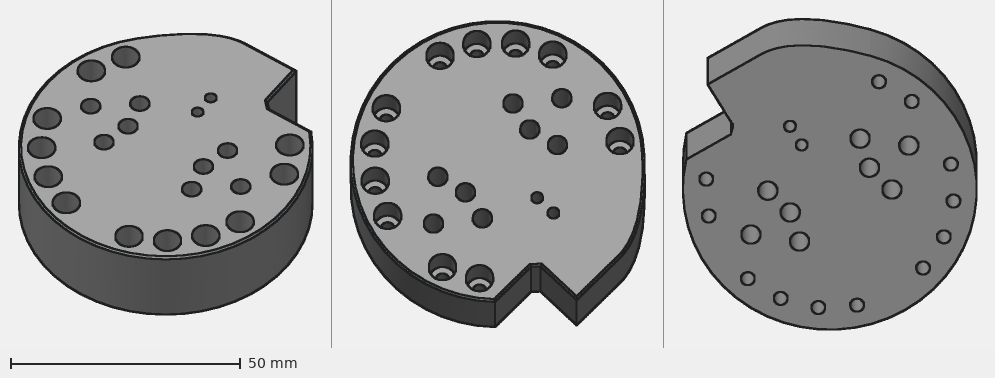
import cadquery as cq
import math

height = 19.0
disc_radius = 32.0
top_flat_y = 34.4
rim_chamfer = 0.5

notch_x = 10.55
notch_y = 22.0
notch_corner_chamfer = 1.45

shoulder_end_x = -3.0
shoulder_handle = 7.3

screw_ring_radius = 27.0
screw_angles = (36, 18, -18, -36, -54, -72)
screw_diameter = 3.0
counterbore_diameter = 6.0
counterbore_depth = height / 2

group_center_x = 15.0
group_hole_diameter = 4.2
axial_hole_offset = 5.0
side_hole_x = 11.7
side_hole_y = 6.8

small_hole_diameter = 2.5
small_hole_ys = (12.0, 17.0)


def mirrored(points):
    """Return the points together with their mirror images about the YZ plane."""
    return points + [(-x, y) for x, y in points]


def make_body():
    """Disc with a raised shoulder on the left, a notch on the right and a chamfered top rim."""
    rim_x = math.sqrt(disc_radius**2 - notch_y**2)
    handle_scale = shoulder_handle / disc_radius
    shoulder_handles = [
        (-rim_x + handle_scale * notch_y, notch_y + handle_scale * rim_x),
        (shoulder_end_x - shoulder_handle, top_flat_y),
    ]
    profile = (
        cq.Workplane("XY")
        .moveTo(rim_x, notch_y)
        .threePointArc((0, -disc_radius), (-rim_x, notch_y))
        .bezier([(-rim_x, notch_y), *shoulder_handles, (shoulder_end_x, top_flat_y)])
        .lineTo(notch_x, top_flat_y)
        .lineTo(notch_x, notch_y + notch_corner_chamfer)
        .lineTo(notch_x + notch_corner_chamfer, notch_y)
        .close()
    )
    return profile.extrude(height).faces(">Z").chamfer(rim_chamfer)


def cut_screw_holes(body):
    points = []
    for angle in screw_angles:
        a = math.radians(angle)
        points.append((screw_ring_radius * math.cos(a), screw_ring_radius * math.sin(a)))
    return (
        body.faces(">Z")
        .workplane(origin=(0, 0, height))
        .pushPoints(mirrored(points))
        .cboreHole(screw_diameter, counterbore_diameter, counterbore_depth)
    )


def cut_through_holes(body, points, diameter):
    return body.faces(">Z").workplane(origin=(0, 0, height)).pushPoints(points).hole(diameter)


group_points = [
    (group_center_x - axial_hole_offset, 0),
    (group_center_x + axial_hole_offset, 0),
    (side_hole_x, side_hole_y),
    (side_hole_x, -side_hole_y),
]
small_points = [(0, y) for y in small_hole_ys]

result = make_body()
result = cut_screw_holes(result)
result = cut_through_holes(result, mirrored(group_points), group_hole_diameter)
result = cut_through_holes(result, small_points, small_hole_diameter)